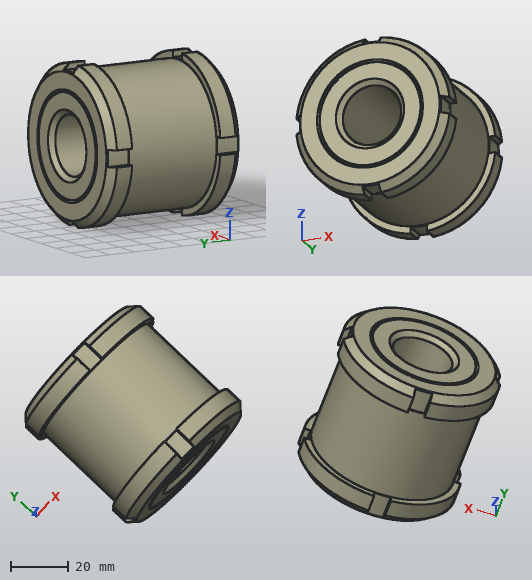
import cadquery as cq
import math

width_across_slots = 57.7
length = 54.0

body_diameter = 52.7
bore_diameter = 22.0
bore_chamfer = 1.85

ring_width = 9.0
ring_face_diameter = 52.5
ring_chamfer_length = 2.75
slot_width = 6.1
slot_floor_diameter = 53.3
slot_count = 4

groove_inner_diameter = 38.1
groove_floor_diameter = 38.35
groove_mouth_diameter = 39.9

ring_radius = math.hypot(width_across_slots / 2, slot_width / 2)
half_length = length / 2
groove_depth = (groove_mouth_diameter - groove_floor_diameter) / 2


def revolve_about_y(points):
    """Turn a closed (radius, y) profile about the Y axis."""
    return cq.Workplane("XY").polyline(points).close().revolve(360, (0, 0, 0), (0, 1, 0))


def make_sleeve():
    """Plain sleeve with a chamfered through bore."""
    bore_radius = bore_diameter / 2
    body_radius = body_diameter / 2
    sleeve_end = half_length - ring_chamfer_length
    return revolve_about_y([
        (bore_radius, -half_length + bore_chamfer),
        (bore_radius + bore_chamfer, -half_length),
        (groove_inner_diameter / 2, -half_length),
        (groove_inner_diameter / 2, -sleeve_end),
        (body_radius, -sleeve_end),
        (body_radius, sleeve_end),
        (groove_inner_diameter / 2, sleeve_end),
        (groove_inner_diameter / 2, half_length),
        (bore_radius + bore_chamfer, half_length),
        (bore_radius, half_length - bore_chamfer),
    ])


def make_front_ring():
    """Ring at the -Y end with a chamfered rim, a face groove and radial slots."""
    ring_back = -half_length + ring_width
    groove_floor = -half_length + groove_depth
    ring = revolve_about_y([
        (groove_mouth_diameter / 2, -half_length),
        (ring_face_diameter / 2, -half_length),
        (ring_radius, -half_length + ring_chamfer_length),
        (ring_radius, ring_back),
        (groove_inner_diameter / 2, ring_back),
        (groove_inner_diameter / 2, groove_floor),
        (groove_floor_diameter / 2, groove_floor),
    ])
    slot = cq.Workplane("XY").box(
        2 * ring_radius, ring_width, slot_width, centered=(False, False, True)
    ).translate((0, -half_length, 0))
    floor_radius = slot_floor_diameter / 2
    slot_core = revolve_about_y([
        (0, -half_length),
        (floor_radius, -half_length),
        (floor_radius, ring_back),
        (0, ring_back),
    ])
    slot = slot.cut(slot_core)
    for index in range(slot_count):
        ring = ring.cut(slot.rotate((0, 0, 0), (0, 1, 0), index * 360 / slot_count))
    return ring


front_ring = make_front_ring()
back_ring = front_ring.mirror("XZ")
result = make_sleeve().union(front_ring).union(back_ring)